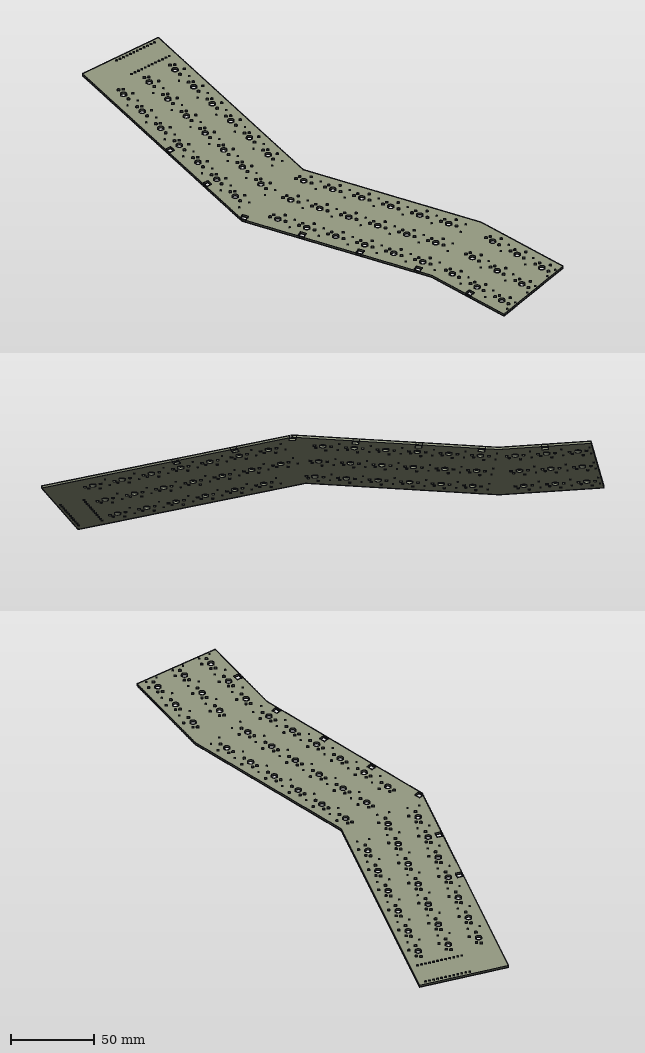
import cadquery as cq
import math

LENGTH = 325.2
THICKNESS = 1.6
BAND_WIDTH = 56.3
FIRST_LEG = 163.3
MIDDLE_LEG = 124.5
MIDDLE_ANGLE = 30.0
END_ANGLE = 15.0

SEVEN_PITCHES = 133.3
PITCH = SEVEN_PITCHES / 7
SUBGRID = PITCH / 15
ROW_INSET = BAND_WIDTH / 2 - PITCH
FIRST_COLUMN = 29.5
MIDDLE_COLUMN = 19.5
END_COLUMN = 8.8

STEM_DIAMETER = 4.0
PEG_DIAMETER = 1.75
PIN_DIAMETER = 1.45
DIODE_DIAMETER = 0.8
HEADER_DIAMETER = 1.1

PEG_OFFSET = 4 * SUBGRID
LEFT_PIN = (-3 * SUBGRID, 2 * SUBGRID)
RIGHT_PIN = (2 * SUBGRID, 4 * SUBGRID)
DIODE_X = PITCH / 2
EDGE_DIODE_X = 7.5
DIODE_UPPER_Y = 3.5
DIODE_LOWER_Y = -4.0

WINDOW_WIDTH = 4.0
WINDOW_HEIGHT = 3.5
WINDOW_DROP = 6.8

HEADER_PINS = 12
HEADER_PITCH = 2 * SUBGRID
HEADER_SPACING = 12 * SUBGRID
HEADER_X = 2.3
HEADER_Y = 23.7


def polar(angle, distance):
    """Vector of the given length, pointing `angle` degrees from X."""
    turn = math.radians(angle)
    return cq.Vector(distance * math.cos(turn), distance * math.sin(turn))


def upper_corner(lower, angle_before, angle_after):
    """Mitred upper corner opposite a lower corner where the band turns."""
    mitre = math.radians(angle_after - angle_before) / 2
    return lower + polar((angle_before + angle_after) / 2 + 90, BAND_WIDTH / math.cos(mitre))


start = cq.Vector(0, 0)
first_bend = start + polar(0, FIRST_LEG)
second_bend = first_bend + polar(MIDDLE_ANGLE, MIDDLE_LEG)
end_leg = (LENGTH - second_bend.x) / math.cos(math.radians(END_ANGLE))
end = second_bend + polar(END_ANGLE, end_leg)
outline = [
    start,
    first_bend,
    second_bend,
    end,
    upper_corner(end, END_ANGLE, END_ANGLE),
    upper_corner(second_bend, MIDDLE_ANGLE, END_ANGLE),
    upper_corner(first_bend, 0, MIDDLE_ANGLE),
    upper_corner(start, 0, 0),
]

legs = [
    (start, 0, FIRST_COLUMN, (7, 7, 6), DIODE_X, (3, 5)),
    (first_bend, MIDDLE_ANGLE, MIDDLE_COLUMN, (6, 6, 6), DIODE_X, (-1, 1, 3, 5)),
    (second_bend, END_ANGLE, END_COLUMN, (3, 3, 3), EDGE_DIODE_X, (1,)),
]


def leg_plane(corner, angle, first_column):
    """Workplane on a leg, with its origin at the leg's first key and X along the leg."""
    origin = corner + polar(angle, first_column) + polar(angle + 90, ROW_INSET)
    return cq.Workplane(cq.Plane(origin, xDir=polar(angle, 1), normal=(0, 0, 1)))


def drill(plane, points, diameter):
    """Cutters for round through holes."""
    return plane.pushPoints(points).circle(diameter / 2).extrude(THICKNESS)


def key_centres(keys_per_row):
    """Centres of the keys on a leg, from its lowest row upward."""
    return [
        (column * PITCH, row * PITCH)
        for row, count in enumerate(keys_per_row)
        for column in range(count)
    ]


def switch_cutters(plane, keys):
    """Cutters for the stem, peg and pin holes of every key on a leg."""
    pattern = [
        (STEM_DIAMETER, [(0, 0)]),
        (PEG_DIAMETER, [(-PEG_OFFSET, 0), (PEG_OFFSET, 0)]),
        (PIN_DIAMETER, [LEFT_PIN, RIGHT_PIN]),
    ]
    return [
        drill(plane, [(x + dx, y + dy) for x, y in keys for dx, dy in offsets], diameter)
        for diameter, offsets in pattern
    ]


def diode_cutter(plane, keys, last_diode_x):
    """Cutter for the pair of diode holes to the right of every key on a leg."""
    last_x = max(x for x, _ in keys)
    points = []
    for x, y in keys:
        diode_x = x + (last_diode_x if x == last_x else DIODE_X)
        points += [(diode_x, y + DIODE_UPPER_Y), (diode_x, y + DIODE_LOWER_Y)]
    return drill(plane, points, DIODE_DIAMETER)


def window_cutter(plane, columns):
    """Cutter for the windows below the lowest row of a leg."""
    centres = [(column * PITCH, -WINDOW_DROP) for column in columns]
    return plane.pushPoints(centres).rect(WINDOW_WIDTH, WINDOW_HEIGHT).extrude(THICKNESS)


def header_cutter():
    """Cutter for the two columns of header pin holes."""
    pins = [
        (HEADER_X + column * HEADER_SPACING, HEADER_Y + pin * HEADER_PITCH)
        for column in range(2)
        for pin in range(HEADER_PINS)
    ]
    return drill(cq.Workplane("XY"), pins, HEADER_DIAMETER)


cutters = [header_cutter()]
for corner, angle, first_column, keys_per_row, last_diode_x, window_columns in legs:
    plane = leg_plane(corner, angle, first_column)
    keys = key_centres(keys_per_row)
    cutters += switch_cutters(plane, keys)
    cutters.append(diode_cutter(plane, keys, last_diode_x))
    cutters.append(window_cutter(plane, window_columns))

plate = cq.Workplane("XY").polyline([point.toTuple()[:2] for point in outline]).close().extrude(THICKNESS)
cut_solids = [solid for cutter in cutters for solid in cutter.vals()]
result = cq.Workplane(plate.val().cut(*cut_solids)).solids()